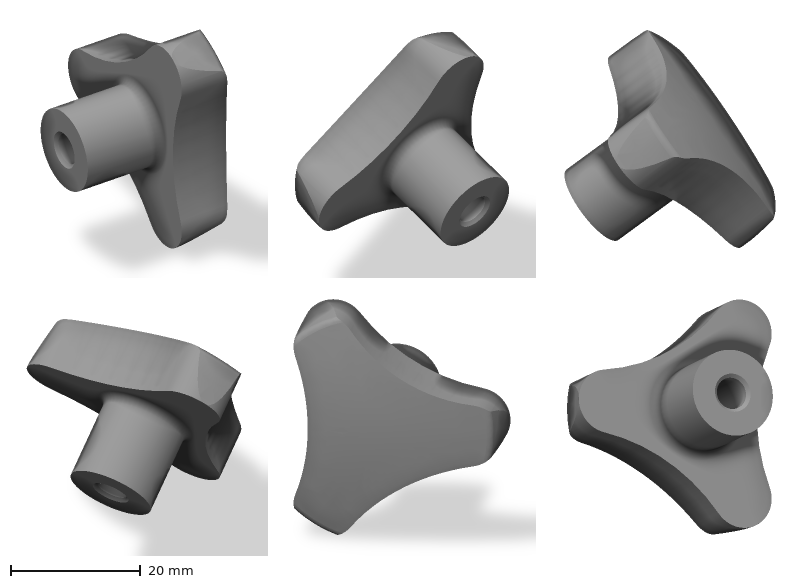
import cadquery as cq
import math


LOBE_COUNT = 3
LOBE_RADIUS = 5.0
LOBE_CENTRE_RADIUS = 15.0
WAIST_RADIUS = 10.0
HEAD_RADIUS = LOBE_CENTRE_RADIUS + LOBE_RADIUS

HEAD_HEIGHT = 10.41
DOME_RADIUS = 75.0
RIM_DRAFT = math.radians(10.0)
RIM_FILLET = 1.2

STEM_DIAMETER = 13.5
STEM_LENGTH = 13.5
STEM_FILLET = 1.2

BORE_DIAMETER = 4.917
BORE_MOUTH_DIAMETER = 6.0
BORE_DEPTH = 13.5
DRILL_POINT_ANGLE = math.radians(118.0)

LOBE_STEP = 2.0 * math.pi / LOBE_COUNT


def polar(radius, angle):
    """Point at the given distance from the knob axis and angle from +X."""
    return (radius * math.cos(angle), radius * math.sin(angle))


def lobed_prism():
    """Straight prism of round lobes joined by tangent hollow arcs."""
    half_step = LOBE_STEP / 2.0
    lobe_x, lobe_z = polar(LOBE_CENTRE_RADIUS, half_step)
    offset = WAIST_RADIUS - lobe_x
    hollow_radius = (offset**2 + lobe_z**2 - LOBE_RADIUS**2) / (2.0 * (LOBE_RADIUS - offset))
    hollow_centre = WAIST_RADIUS + hollow_radius

    share = LOBE_RADIUS / (LOBE_RADIUS + hollow_radius)
    tangent_x = lobe_x + share * (hollow_centre - lobe_x)
    tangent_z = lobe_z * (1.0 - share)
    tangent_radius = math.hypot(tangent_x, tangent_z)
    tangent_angle = math.atan2(tangent_z, tangent_x)

    outline = cq.Workplane("XZ").moveTo(*polar(tangent_radius, -tangent_angle))
    for index in range(LOBE_COUNT):
        waist_angle = index * LOBE_STEP
        lobe_angle = waist_angle + half_step
        next_waist_angle = waist_angle + LOBE_STEP
        outline = outline.threePointArc(
            polar(WAIST_RADIUS, waist_angle),
            polar(tangent_radius, waist_angle + tangent_angle),
        )
        outline = outline.threePointArc(
            polar(HEAD_RADIUS, lobe_angle),
            polar(tangent_radius, next_waist_angle - tangent_angle),
        )
    return outline.close().extrude(-HEAD_HEIGHT)


def crown_envelope():
    """Round body with a drafted rim, a rounded rim edge and a spherical top."""
    dome_centre = HEAD_HEIGHT - DOME_RADIUS
    slope = math.tan(RIM_DRAFT)
    a = 1.0 + slope**2
    b = HEAD_RADIUS * slope + dome_centre
    c = HEAD_RADIUS**2 + dome_centre**2 - DOME_RADIUS**2
    corner_y = (b + math.sqrt(b**2 - a * c)) / a
    corner_x = HEAD_RADIUS - corner_y * slope

    half_angle = math.asin(corner_x / DOME_RADIUS) / 2.0
    dome_middle = (
        DOME_RADIUS * math.sin(half_angle),
        dome_centre + DOME_RADIUS * math.cos(half_angle),
    )
    profile = (
        cq.Workplane("XY")
        .lineTo(HEAD_RADIUS, 0)
        .lineTo(corner_x, corner_y)
        .threePointArc(dome_middle, (0, HEAD_HEIGHT))
        .close()
    )
    envelope = profile.revolve(360, (0, 0), (0, 1))
    rim_edge = cq.selectors.BoxSelector(
        (-HEAD_RADIUS, corner_y / 2.0, -HEAD_RADIUS),
        (HEAD_RADIUS, (corner_y + HEAD_HEIGHT) / 2.0, HEAD_RADIUS),
        boundingbox=True,
    )
    return envelope.edges(rim_edge).fillet(RIM_FILLET)


def stem():
    """Cylindrical stem with a hollow fillet spreading under the head."""
    radius = STEM_DIAMETER / 2.0
    overlap = HEAD_HEIGHT / 2.0
    fillet_outer = radius + STEM_FILLET
    fillet_offset = STEM_FILLET * math.sqrt(0.5)
    fillet_middle = (fillet_outer - fillet_offset, fillet_offset - STEM_FILLET)
    return (
        cq.Workplane("XY")
        .moveTo(0, -STEM_LENGTH)
        .lineTo(radius, -STEM_LENGTH)
        .lineTo(radius, -STEM_FILLET)
        .threePointArc(fillet_middle, (fillet_outer, 0))
        .lineTo(fillet_outer, overlap)
        .lineTo(0, overlap)
        .close()
        .revolve(360, (0, 0), (0, 1))
    )


def bore():
    """Blind drilled bore with a 45 degree countersunk mouth and a conical end."""
    radius = BORE_DIAMETER / 2.0
    mouth_radius = BORE_MOUTH_DIAMETER / 2.0
    mouth_depth = mouth_radius - radius
    point_depth = radius / math.tan(DRILL_POINT_ANGLE / 2.0)
    bore_end = BORE_DEPTH - STEM_LENGTH
    return (
        cq.Workplane("XY")
        .moveTo(0, -STEM_LENGTH)
        .lineTo(mouth_radius, -STEM_LENGTH)
        .lineTo(radius, mouth_depth - STEM_LENGTH)
        .lineTo(radius, bore_end)
        .lineTo(0, bore_end + point_depth)
        .close()
        .revolve(360, (0, 0), (0, 1))
    )


head = lobed_prism().intersect(crown_envelope())
result = head.union(stem()).cut(bore())